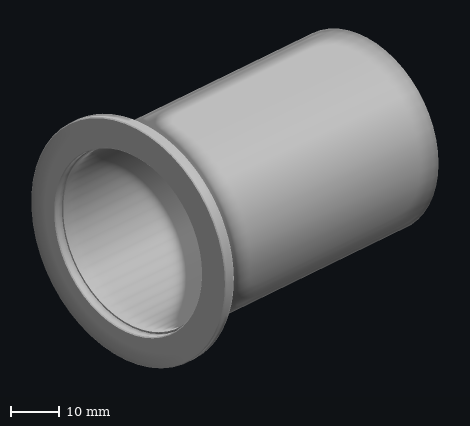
import cadquery as cq
import math

length = 70.0
tube_diameter = 44.5
bore_diameter = 40.5
flange_diameter = 55.0

flange_depth = 4.4
taper_angle = 15.0
rim_fillet = 1.5
edge_chamfer = 0.2

recess_diameter = 41.3
recess_depth = 2.1

tube_radius = tube_diameter / 2
flange_radius = flange_diameter / 2
bore_radius = bore_diameter / 2
recess_radius = recess_diameter / 2
face_y = -length / 2
back_y = length / 2
taper_start_y = face_y + flange_depth
taper_rise = (flange_radius - tube_radius) * math.tan(math.radians(taper_angle))
rim_back_y = taper_start_y - taper_rise


def make_body():
    """Revolve the solid outer outline, then round the back corner of the rim."""
    outline = [
        (0, face_y),
        (flange_radius - edge_chamfer, face_y),
        (flange_radius, face_y + edge_chamfer),
        (flange_radius, rim_back_y),
        (tube_radius, taper_start_y),
        (tube_radius, back_y),
        (0, back_y),
    ]
    body = cq.Workplane("XY").polyline(outline).close().revolve(360, (0, 0), (0, 1))
    rim_corner = cq.selectors.RadiusNthSelector(-1)
    return body.edges("%CIRCLE").edges(rim_corner).edges(">Y").fillet(rim_fillet)


def make_bore():
    """Revolve the through bore with its recess and chamfered mouth."""
    outline = [
        (0, face_y),
        (recess_radius + edge_chamfer, face_y),
        (recess_radius, face_y + edge_chamfer),
        (recess_radius, face_y + recess_depth),
        (bore_radius, face_y + recess_depth),
        (bore_radius, back_y),
        (0, back_y),
    ]
    return cq.Workplane("XY").polyline(outline).close().revolve(360, (0, 0), (0, 1))


result = make_body().cut(make_bore())